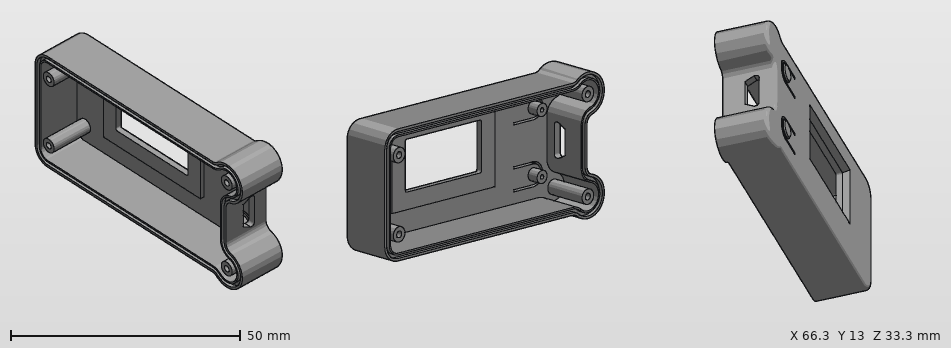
import cadquery as cq
import math

case_depth = 12.5
case_half_height = 15.0
end_wall_x = 61.05
corner_radius = 4.0
ear_radius = 5.0
ear_x = 61.27
ear_z = 11.64
ear_blend_radius = 2.0
edge_fillet = 1.0
wall = 1.8
floor_thickness = 1.65
floor_y = case_depth - floor_thickness

groove_outer_inset = 0.6
groove_inner_inset = 1.4
groove_depth = 1.0

display_x = 26.95
display_z = 2.3
window_width = 23.0
window_height = 12.0
window_corner_radius = 0.5
pad_width = 31.0
pad_height = 20.0
pad_thickness = 2.8
window_bevel = 1.3

post_diameter = 3.5
post_hole_diameter = 1.5
left_post_x = 4.35
left_post_z = 9.0
post_end_y = 0.0
post_hole_depth = 8.0

button_x = 55.1
button_z = 7.6
button_post_diameter = 3.0
button_post_hole_diameter = 1.0
button_post_end_y = 8.0
button_post_hole_depth = 2.0
button_cap_diameter = 4.3
button_cap_height = 0.5
button_cap_chamfer = 0.3
tongue_root_x = 49.3
tongue_slot_width = 0.5
tongue_slot_outer_radius = 2.85

port_inner_y = 8.45
port_taper_y = 7.3
port_rim_y = 5.15
port_length = 8.2
port_rim_length = 6.0
port_corner_radius = 0.7


def xz_plane(y):
    """Sketch plane at height y whose local axes are X and Z; extrusion goes toward -Y."""
    return cq.Workplane("XZ", origin=(0, y, 0))


def case_outline(y):
    """Rounded case outline with two round ears blended into the end wall."""
    reach = ear_radius + ear_blend_radius
    side_blend_z = case_half_height + ear_blend_radius
    side_blend_x = ear_x - math.sqrt(reach**2 - (side_blend_z - ear_z) ** 2)
    end_blend_x = end_wall_x + ear_blend_radius
    end_blend_z = ear_z - math.sqrt(reach**2 - (end_blend_x - ear_x) ** 2)

    def on_ear(blend_x, blend_z):
        share = ear_radius / reach
        return (ear_x + share * (blend_x - ear_x), ear_z + share * (blend_z - ear_z))

    def on_blend(blend_x, blend_z, wall_dx, wall_dz):
        dx = wall_dx + (ear_x - blend_x) / reach
        dz = wall_dz + (ear_z - blend_z) / reach
        scale = ear_blend_radius / math.hypot(dx, dz)
        return (blend_x + scale * dx, blend_z + scale * dz)

    def mirrored(point):
        return (point[0], -point[1])

    side_start = (side_blend_x, case_half_height)
    side_mid = on_blend(side_blend_x, side_blend_z, 0, -1)
    side_end = on_ear(side_blend_x, side_blend_z)
    ear_tip = (ear_x + ear_radius * math.cos(math.pi / 4), ear_z + ear_radius * math.sin(math.pi / 4))
    end_start = on_ear(end_blend_x, end_blend_z)
    end_mid = on_blend(end_blend_x, end_blend_z, -1, 0)
    end_stop = (end_wall_x, end_blend_z)
    straight_z = case_half_height - corner_radius
    corner_mid = corner_radius * (1 - math.sqrt(0.5))
    return (
        xz_plane(y)
        .moveTo(corner_radius, case_half_height)
        .lineTo(*side_start)
        .threePointArc(side_mid, side_end)
        .threePointArc(ear_tip, end_start)
        .threePointArc(end_mid, end_stop)
        .lineTo(*mirrored(end_stop))
        .threePointArc(mirrored(end_mid), mirrored(end_start))
        .threePointArc(mirrored(ear_tip), mirrored(side_end))
        .threePointArc(mirrored(side_mid), mirrored(side_start))
        .lineTo(corner_radius, -case_half_height)
        .threePointArc((corner_mid, corner_mid - case_half_height), (0, -straight_z))
        .lineTo(0, straight_z)
        .threePointArc((corner_mid, case_half_height - corner_mid), (corner_radius, case_half_height))
        .close()
    )


def inset_block(inset, y, length):
    """Prism of the case outline shrunk by inset, from y toward the rim."""
    return case_outline(y).offset2D(-inset).extrude(length)


def shell():
    body = case_outline(case_depth).extrude(case_depth)
    body = body.faces(">Y").edges().fillet(edge_fillet)
    body = body.cut(inset_block(wall, floor_y, floor_y))
    groove = inset_block(groove_outer_inset, groove_depth, groove_depth)
    groove = groove.cut(inset_block(groove_inner_inset, groove_depth, groove_depth))
    return body.cut(groove)


def display_pad():
    """Block behind the display window that thickens the floor toward the inside."""
    return xz_plane(case_depth).center(display_x, display_z).rect(pad_width, pad_height).extrude(pad_thickness)


def display_window():
    """Through window whose outer edge widens in a 45 degree bevel."""
    window = (
        xz_plane(case_depth)
        .center(display_x, display_z)
        .rect(window_width, window_height)
        .extrude(pad_thickness)
        .edges("|Y")
        .fillet(window_corner_radius)
    )
    bevel = (
        xz_plane(case_depth)
        .center(display_x, display_z)
        .rect(window_width + 2 * window_bevel, window_height + 2 * window_bevel)
        .extrude(window_bevel, taper=45)
    )
    return window.union(bevel)


def cylinder(x, z, diameter, y_start, y_end):
    """Cylinder along Y between two heights, y_start being the larger one."""
    return xz_plane(y_start).center(x, z).circle(diameter / 2).extrude(y_start - y_end)


def tongue_prism(z, radius):
    """Straight tongue with a round end, through the floor."""
    return (
        xz_plane(case_depth)
        .moveTo(tongue_root_x, z - radius)
        .lineTo(button_x, z - radius)
        .threePointArc((button_x + radius, z), (button_x, z + radius))
        .lineTo(tongue_root_x, z + radius)
        .close()
        .extrude(floor_thickness)
    )


def tongue_slot(z):
    inner_radius = tongue_slot_outer_radius - tongue_slot_width
    return tongue_prism(z, tongue_slot_outer_radius).cut(tongue_prism(z, inner_radius))


def button_cap(z):
    cap_top = case_depth + button_cap_height
    cap = cylinder(button_x, z, button_cap_diameter, cap_top, case_depth)
    return cap.faces(">Y").chamfer(button_cap_chamfer)


def port_opening():
    half = port_length / 2
    rim_half = port_rim_length / 2
    opening = (
        cq.Workplane("YZ", origin=(end_wall_x - wall, 0, 0))
        .moveTo(port_inner_y, half)
        .lineTo(port_taper_y, half)
        .lineTo(port_rim_y, rim_half)
        .lineTo(port_rim_y, -rim_half)
        .lineTo(port_taper_y, -half)
        .lineTo(port_inner_y, -half)
        .close()
        .extrude(wall)
    )
    return opening.faces(">Y").edges("|X").fillet(port_corner_radius)


result = shell().union(display_pad()).cut(display_window()).cut(port_opening())

for side in (1, -1):
    for post_x, post_z in ((left_post_x, left_post_z), (ear_x, ear_z)):
        post = cylinder(post_x, side * post_z, post_diameter, floor_y, post_end_y)
        hole = cylinder(post_x, side * post_z, post_hole_diameter, post_end_y + post_hole_depth, post_end_y)
        result = result.union(post).cut(hole)

    z = side * button_z
    hole_bottom_y = button_post_end_y + button_post_hole_depth
    button_post = cylinder(button_x, z, button_post_diameter, floor_y, button_post_end_y)
    button_hole = cylinder(button_x, z, button_post_hole_diameter, hole_bottom_y, button_post_end_y)
    result = result.cut(tongue_slot(z)).union(button_post).cut(button_hole).union(button_cap(z))